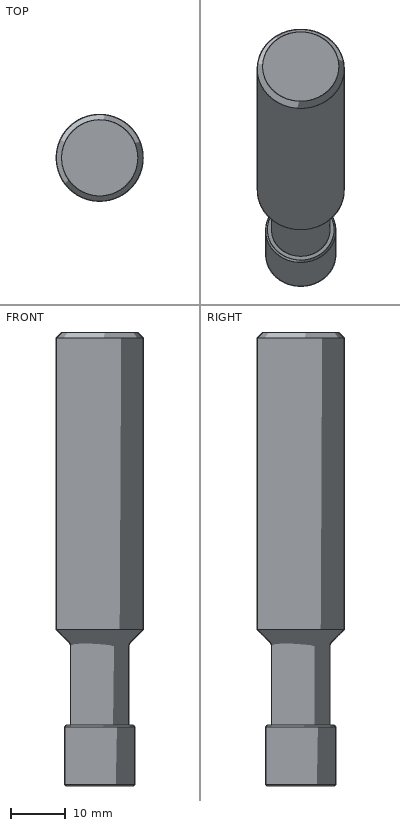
import math

import cadquery as cq

total_length = 82.55
handle_radius = 7.9
top_chamfer = 1.0
handle_bottom = 28.5
neck_diameter = 10.65
neck_radius = neck_diameter / 2
neck_fillet = 1.0

cap_diameter = 12.8
cap_radius = cap_diameter / 2
cap_height = 11.15
cap_chamfer = 0.3

taper_angle = math.radians(45)
fillet_top_radius = neck_radius + neck_fillet * (1 - math.cos(taper_angle))
fillet_top = handle_bottom - (handle_radius - fillet_top_radius)
fillet_bottom = fillet_top - neck_fillet * math.sin(taper_angle)
fillet_middle_radius = neck_radius + neck_fillet * (1 - math.cos(taper_angle / 2))
fillet_middle = fillet_bottom + neck_fillet * math.sin(taper_angle / 2)


def make_shank():
    """Turned shank whose neck ends on the top face of the cap."""
    return (
        cq.Workplane("XZ")
        .moveTo(0, cap_height)
        .lineTo(neck_radius, cap_height)
        .lineTo(neck_radius, fillet_bottom)
        .threePointArc((fillet_middle_radius, fillet_middle), (fillet_top_radius, fillet_top))
        .lineTo(handle_radius, handle_bottom)
        .lineTo(handle_radius, total_length - top_chamfer)
        .lineTo(handle_radius - top_chamfer, total_length)
        .lineTo(0, total_length)
        .close()
        .revolve(360, (0, 0), (0, 1))
    )


def make_cap():
    """Solid cylindrical cap with both outer rims chamfered."""
    cap = cq.Workplane("XY").circle(cap_radius).extrude(cap_height)
    return cap.faces("<Z or >Z").chamfer(cap_chamfer)


shank = make_shank()
cap = make_cap()

result = cq.Compound.makeCompound([shank.val(), cap.val()])